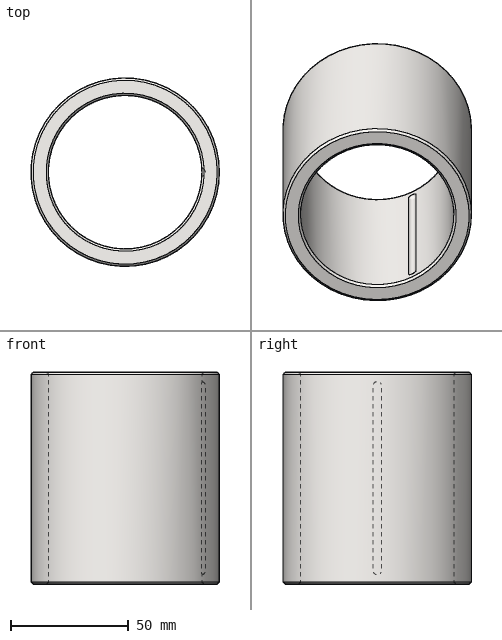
import cadquery as cq

outer_diameter = 80.0
bore_diameter = 65.0
length = 90.0
chamfer = 1.0

groove_radius = 1.75
groove_depth = 1.5
groove_end_margin = 4.0
groove_length = length - 2 * groove_end_margin
groove_axis_x = bore_diameter / 2 + groove_depth - groove_radius


def make_sleeve():
    """Plain tube standing on the XY plane, with every end edge chamfered."""
    tube = (
        cq.Workplane("XY")
        .circle(outer_diameter / 2)
        .circle(bore_diameter / 2)
        .extrude(length)
    )
    return tube.faces("<Z or >Z").edges().chamfer(chamfer)


def make_groove_cutter():
    """Ball-ended round bar parallel to the sleeve axis, revolved about its own axis."""
    straight_length = groove_length - 2 * groove_radius
    profile = (
        cq.Workplane("XZ", origin=(groove_axis_x, 0, groove_end_margin))
        .moveTo(0, 0)
        .radiusArc((groove_radius, groove_radius), -groove_radius)
        .line(0, straight_length)
        .radiusArc((0, groove_length), -groove_radius)
        .close()
    )
    return profile.revolve(360, (0, 0, 0), (0, 1, 0))


result = make_sleeve().cut(make_groove_cutter())